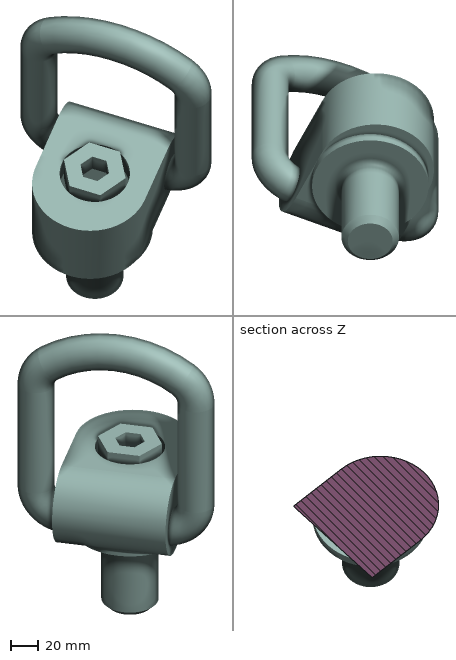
import cadquery as cq
import math


shank_diameter = 42.0
tip_chamfer = 4.5
flange_diameter = 85.0
flange_bottom_z = 65.2
flange_height = 7.5
neck_fillet = 4.5

housing_width = flange_diameter
housing_height = 60.7
nose_center_y = -9.5
back_y = 68.0
housing_bottom_z = flange_bottom_z + flange_height
housing_top_z = housing_bottom_z + housing_height
nose_radius = housing_width / 2
knuckle_radius = housing_height / 2
knuckle_center_y = back_y - knuckle_radius
knuckle_center_z = housing_bottom_z + knuckle_radius

recess_diameter = 51.3
recess_depth = 17.7
hex_across_flats = 41.5
hex_projection = 5.5
socket_across_flats = 19.2
socket_depth = 15.2
hex_top_z = housing_top_z + hex_projection

wire_diameter = 27.0
ring_width = 147.0
ring_top_z = 252.9
ring_y = 44.8
bend_radius = 23.0
lower_bend_z = 119.4
upper_bend_z = 204.8
leg_x = (ring_width - wire_diameter) / 2
bend_center_x = leg_x - bend_radius
bore_z = lower_bend_z - bend_radius
crown_z = ring_top_z - wire_diameter / 2

bend_rise = crown_z - bend_radius - upper_bend_z
crown_radius = bend_radius + (bend_center_x**2 + bend_rise**2) / (2 * bend_rise)
crown_center_z = crown_z - crown_radius


def point_on_arc(center_x, center_z, radius, degrees):
    """Point of an arc in the ring plane, with the angle counted from +X towards +Z."""
    angle = math.radians(degrees)
    return (center_x + radius * math.cos(angle), center_z + radius * math.sin(angle))


def hexagonal_prism(across_flats, bottom_z, top_z):
    """Upright hexagon with two corners on the X axis."""
    corner_diameter = across_flats / math.cos(math.radians(30))
    return cq.Workplane("XY", origin=(0, 0, bottom_z)).polygon(6, corner_diameter).extrude(top_z - bottom_z)


def make_ring():
    """Closed round-wire ring: straight bar through the housing, two legs and an arched crown."""
    joint_angle = math.degrees(math.atan2(upper_bend_z - crown_center_z, bend_center_x))
    joint_x, joint_z = point_on_arc(0, crown_center_z, crown_radius, joint_angle)
    lower_bend_middle = -45
    upper_x, upper_z = point_on_arc(bend_center_x, upper_bend_z, bend_radius, joint_angle / 2)
    lower_x, lower_z = point_on_arc(bend_center_x, lower_bend_z, bend_radius, lower_bend_middle)

    path = (
        cq.Workplane("XZ", origin=(0, ring_y, 0))
        .moveTo(0, bore_z)
        .lineTo(bend_center_x, bore_z)
        .threePointArc((lower_x, lower_z), (leg_x, lower_bend_z))
        .lineTo(leg_x, upper_bend_z)
        .threePointArc((upper_x, upper_z), (joint_x, joint_z))
        .threePointArc((0, crown_z), (-joint_x, joint_z))
        .threePointArc((-upper_x, upper_z), (-leg_x, upper_bend_z))
        .lineTo(-leg_x, lower_bend_z)
        .threePointArc((-lower_x, lower_z), (-bend_center_x, bore_z))
        .close()
    )
    wire_section = cq.Workplane("YZ", origin=(0, ring_y, bore_z)).circle(wire_diameter / 2)
    return wire_section.sweep(path)


def make_block():
    """Block with a round nose at the front and a rounded knuckle at the back."""
    plan = (
        cq.Workplane("XY", origin=(0, 0, housing_bottom_z))
        .moveTo(-nose_radius, back_y)
        .lineTo(-nose_radius, nose_center_y)
        .threePointArc((0, nose_center_y - nose_radius), (nose_radius, nose_center_y))
        .lineTo(nose_radius, back_y)
        .close()
        .extrude(housing_height)
    )
    profile = (
        cq.Workplane("YZ", origin=(-nose_radius, 0, 0))
        .moveTo(nose_center_y - nose_radius, housing_bottom_z)
        .lineTo(knuckle_center_y, housing_bottom_z)
        .threePointArc((back_y, knuckle_center_z), (knuckle_center_y, housing_top_z))
        .lineTo(nose_center_y - nose_radius, housing_top_z)
        .close()
        .extrude(housing_width)
    )
    return plan.intersect(profile)


def make_shank():
    """Flange and shank below the block, with a filleted neck and a chamfered tip."""
    shank_radius = shank_diameter / 2
    flange_radius = flange_diameter / 2
    neck_start_z = flange_bottom_z - neck_fillet
    half_profile = (
        cq.Workplane("XZ")
        .moveTo(0, 0)
        .lineTo(shank_radius - tip_chamfer, 0)
        .lineTo(shank_radius, tip_chamfer)
        .lineTo(shank_radius, neck_start_z)
        .radiusArc((shank_radius + neck_fillet, flange_bottom_z), neck_fillet)
        .lineTo(flange_radius, flange_bottom_z)
        .lineTo(flange_radius, housing_bottom_z)
        .lineTo(0, housing_bottom_z)
        .close()
    )
    return half_profile.revolve(360, (0, 0, 0), (0, 1, 0))


def make_housing(ring):
    """Block with the bolt head in a round recess, the flanged shank and a bore that fits the ring."""
    recess_floor_z = housing_top_z - recess_depth
    recess_floor = cq.Workplane("XY", origin=(0, 0, recess_floor_z))
    recess = recess_floor.circle(recess_diameter / 2).extrude(recess_depth)
    head = hexagonal_prism(hex_across_flats, recess_floor_z, hex_top_z)
    socket = hexagonal_prism(socket_across_flats, hex_top_z - socket_depth, hex_top_z)
    return make_block().cut(recess).union(head).cut(socket).union(make_shank()).cut(ring)


ring = make_ring()
housing = make_housing(ring)

result = cq.Compound.makeCompound([ring.val(), housing.val()])